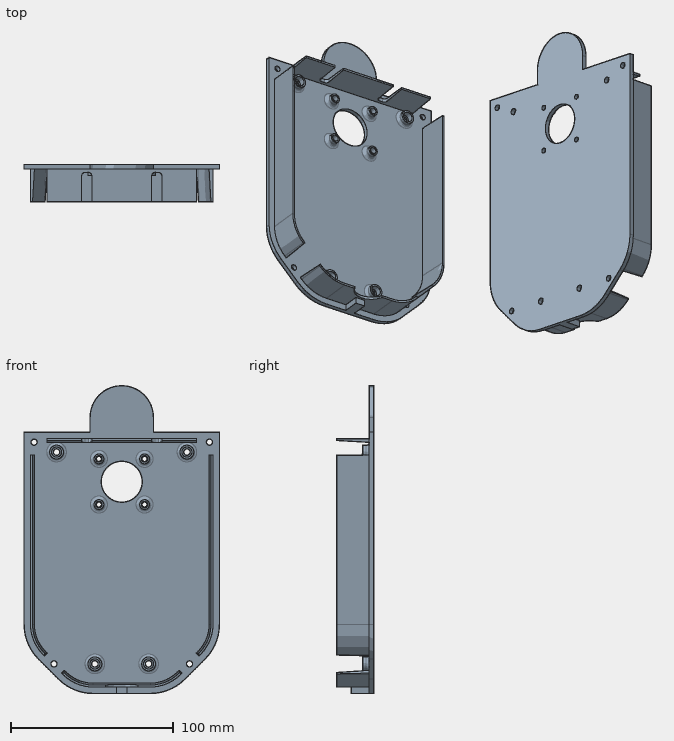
import cadquery as cq
import math

PLATE_WIDTH = 120.0
PLATE_HEIGHT = 160.5
PLATE_THICKNESS = 3.0
CORNER_CUT = 30.0
CORNER_RADIUS = 30.0

TAB_RADIUS = 19.5
TAB_STRAIGHT = 9.0

WALL_INSET = 4.0
WALL_HEIGHT = 20.0
WALL_BASE_THICKNESS = 2.4
WALL_DRAFT = 3.3
TOP_WALL_LENGTH = 92.0
SIDE_WALL_TOP_GAP = 14.2
CORNER_GAP = 14.8
CORNER_GAP_DRAFT = 2.0

SLOT_OFFSET = 21.5
SLOT_WIDTH = 6.2
SLOT_START = 2.0
SLOT_CORNER_RADIUS = 2.0

SCOOP_RADIUS = 10.5
SCOOP_CENTER_OVERHANG = 3.0
LUG_WIDTH = 6.4
LUG_HEIGHT = 11.0

SCREW_DIAMETER = 3.6
UPPER_SCREW_EDGE_DISTANCE = 6.2
LOWER_SCREW_X = 41.6

OPENING_DIAMETER = 25.0
OPENING_TOP_DISTANCE = 30.5
OPENING_Z = PLATE_HEIGHT - OPENING_TOP_DISTANCE
SMALL_BOSS_PITCH = 28.0

UPPER_BOSS_X = 40.0
UPPER_BOSS_TOP_DISTANCE = 12.3
UPPER_BOSS_Z = PLATE_HEIGHT - UPPER_BOSS_TOP_DISTANCE
LOWER_BOSS_X = 16.5
LOWER_BOSS_Z = 18.2

LARGE_BOSS = dict(radius=4.25, height=4.0, flare=1.75, bore=3.1, hole=1.9)
SMALL_BOSS = dict(radius=3.0, height=4.5, flare=2.2, bore=2.0, hole=1.5)

HALF_WIDTH = PLATE_WIDTH / 2
DIAGONAL = math.sqrt(2)
HALF_SWEEP = math.radians(45 / 2)


def front_plane():
    """XZ sketch plane on the plate's front face; positive extrusions go toward -Y."""
    return cq.Workplane("XZ")


def plate_outline(inset):
    """Plate outline moved inward by an inset, as a sketch on the front face."""
    side = HALF_WIDTH - inset
    bottom = inset
    top = PLATE_HEIGHT - inset
    cut = CORNER_CUT - inset * (2 - DIAGONAL)
    radius = CORNER_RADIUS - inset
    tangent = radius * math.tan(HALF_SWEEP)
    middle = radius * (1 - math.cos(HALF_SWEEP))

    rise = radius * math.sin(HALF_SWEEP)
    shift = radius * (1 - 1 / DIAGONAL)
    side_start = bottom + cut + tangent
    side_mid = (side - middle, side_start - rise)
    side_end = (side - shift, side_start - radius / DIAGONAL)

    flat = side - cut - tangent
    low_start = (flat + radius / DIAGONAL, bottom + shift)
    low_mid = (flat + rise, bottom + middle)

    return (
        front_plane()
        .moveTo(0, top)
        .lineTo(side, top)
        .lineTo(side, side_start)
        .threePointArc(side_mid, side_end)
        .lineTo(*low_start)
        .threePointArc(low_mid, (flat, bottom))
        .lineTo(-flat, bottom)
        .threePointArc((-low_mid[0], low_mid[1]), (-low_start[0], low_start[1]))
        .lineTo(-side_end[0], side_end[1])
        .threePointArc((-side_mid[0], side_mid[1]), (-side, side_start))
        .lineTo(-side, top)
        .close()
    )


def make_plate():
    """Flat plate with its rounded tab."""
    tab_center = PLATE_HEIGHT + TAB_STRAIGHT
    tab = (
        front_plane()
        .moveTo(-TAB_RADIUS, PLATE_HEIGHT)
        .lineTo(-TAB_RADIUS, tab_center)
        .threePointArc((0, tab_center + TAB_RADIUS), (TAB_RADIUS, tab_center))
        .lineTo(TAB_RADIUS, PLATE_HEIGHT)
        .close()
        .extrude(-PLATE_THICKNESS)
    )
    return plate_outline(0).extrude(-PLATE_THICKNESS).union(tab)


def lower_gap_center():
    """Middle of the wall's outer 45 degree edge, on the +X side."""
    reach = (CORNER_CUT + WALL_INSET * DIAGONAL) / 2
    return HALF_WIDTH - reach, reach


def make_walls():
    """Drafted perimeter wall, opened at all four corners."""
    cavity = plate_outline(WALL_INSET + WALL_BASE_THICKNESS).extrude(WALL_HEIGHT, taper=-WALL_DRAFT)
    walls = plate_outline(WALL_INSET).extrude(WALL_HEIGHT).cut(cavity)
    corner_width = HALF_WIDTH - TOP_WALL_LENGTH / 2
    gap_x, gap_z = lower_gap_center()
    for sign in (-1, 1):
        upper_gap = (
            front_plane()
            .center(sign * (HALF_WIDTH - corner_width / 2), PLATE_HEIGHT - SIDE_WALL_TOP_GAP / 2)
            .rect(corner_width, SIDE_WALL_TOP_GAP)
            .extrude(WALL_HEIGHT)
        )
        lower_gap = (
            front_plane()
            .center(sign * gap_x, gap_z)
            .transformed(rotate=(0, 0, sign * 45))
            .rect(CORNER_GAP, CORNER_GAP)
            .extrude(WALL_HEIGHT, taper=-CORNER_GAP_DRAFT)
        )
        walls = walls.cut(upper_gap).cut(lower_gap)
    return walls.cut(make_slots()).cut(make_scoop())


def make_slots():
    """Two open slots with rounded inner corners, cut through the top wall."""
    slot_length = WALL_HEIGHT - SLOT_START
    depth = WALL_INSET + WALL_BASE_THICKNESS
    return (
        cq.Workplane("XY", origin=(0, -SLOT_START - slot_length / 2, PLATE_HEIGHT - depth))
        .pushPoints([(-SLOT_OFFSET, 0), (SLOT_OFFSET, 0)])
        .rect(SLOT_WIDTH, slot_length)
        .extrude(depth)
        .edges("|Z and >Y")
        .fillet(SLOT_CORNER_RADIUS)
    )


def make_scoop():
    """Round cutter that scoops the free edge of the bottom wall."""
    return (
        cq.Workplane("XY", origin=(0, -WALL_HEIGHT - SCOOP_CENTER_OVERHANG, 0))
        .circle(SCOOP_RADIUS)
        .extrude(WALL_INSET + WALL_BASE_THICKNESS)
    )


def make_lug():
    """Block from the plate's lower edge into the bottom wall."""
    length = WALL_INSET + WALL_BASE_THICKNESS / 2
    return front_plane().center(0, length / 2).rect(LUG_WIDTH, length).extrude(LUG_HEIGHT)


def add_bosses(body, points, radius, height, flare, bore, hole):
    """Add bosses with a concave flared foot, a bore down to the plate's front face and a through hole."""
    bend = flare * (1 - 1 / DIAGONAL)
    profile = (
        cq.Workplane("XY")
        .lineTo(radius + flare, 0)
        .threePointArc((radius + bend, -bend), (radius, -flare))
        .lineTo(radius, -height)
        .lineTo(0, -height)
        .close()
    )
    boss = profile.revolve(360, (0, 0, 0), (0, 1, 0))
    for x, z in points:
        body = body.union(boss.translate((x, 0, z)))
    bores = front_plane().pushPoints(points).circle(bore).extrude(height)
    return body.cut(bores).cut(through_holes(points, hole))


def through_holes(points, radius):
    """Cutters through the plate."""
    return front_plane().pushPoints(points).circle(radius).extrude(-PLATE_THICKNESS)


def mirrored(x, z):
    """A point and its mirror image across the part's center plane."""
    return [(-x, z), (x, z)]


large_boss_points = mirrored(UPPER_BOSS_X, UPPER_BOSS_Z) + mirrored(LOWER_BOSS_X, LOWER_BOSS_Z)
half_pitch = SMALL_BOSS_PITCH / 2
small_boss_points = mirrored(half_pitch, OPENING_Z - half_pitch)
small_boss_points += mirrored(half_pitch, OPENING_Z + half_pitch)
upper_screw = (HALF_WIDTH - UPPER_SCREW_EDGE_DISTANCE, PLATE_HEIGHT - UPPER_SCREW_EDGE_DISTANCE)
screw_points = mirrored(*upper_screw) + mirrored(LOWER_SCREW_X, LOWER_BOSS_Z)

result = make_plate().union(make_walls()).union(make_lug())
result = add_bosses(result, large_boss_points, **LARGE_BOSS)
result = add_bosses(result, small_boss_points, **SMALL_BOSS)
result = result.cut(through_holes(screw_points, SCREW_DIAMETER / 2))
result = result.cut(through_holes([(0, OPENING_Z)], OPENING_DIAMETER / 2))